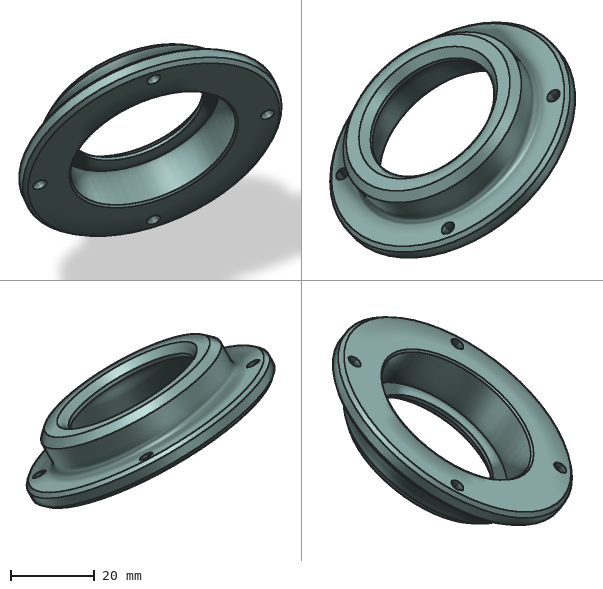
import cadquery as cq

total_length = 14.0
flange_thickness = 4.5
boss_length = total_length - flange_thickness
seat_depth = 11.0
seat_start = total_length - seat_depth

flange_diameter = 66.0
boss_diameter = 49.0
bore_diameter = 34.0
seat_diameter = 42.0

flange_chamfer = 1.0
boss_chamfer = 2.0
bore_chamfer = 2.0
seat_chamfer = 0.5
root_fillet = 2.0

hole_count = 4
hole_diameter = 3.4
hole_circle_diameter = 58.0


def disc(start_x, length, diameter):
    """Solid cylinder along +X, starting at start_x."""
    return cq.Workplane("YZ", origin=(start_x, 0, 0)).circle(diameter / 2).extrude(length)


def make_flange():
    """Round flange with both rims chamfered."""
    return disc(boss_length, flange_thickness, flange_diameter).edges().chamfer(flange_chamfer)


def make_boss():
    """Round boss with its free end chamfered."""
    return disc(0, boss_length, boss_diameter).faces("<X").edges().chamfer(boss_chamfer)


def fillet_boss_root(body):
    """Round the inside corner where the boss meets the flange."""
    on_flange_face = cq.selectors.BoxSelector(
        (boss_length - root_fillet / 2, -boss_diameter, -boss_diameter),
        (boss_length + root_fillet / 2, boss_diameter, boss_diameter),
    )
    root_edge = body.edges(on_flange_face).edges(cq.selectors.RadiusNthSelector(0))
    return root_edge.fillet(root_fillet)


def cut_bore(body):
    """Through bore, with a chamfered mouth at the boss end."""
    bored = body.cut(disc(0, total_length, bore_diameter))
    mouth_edge = bored.faces("<X").edges(cq.selectors.RadiusNthSelector(0))
    return mouth_edge.chamfer(bore_chamfer)


def cut_seat(body):
    """Wider counterbore from the flange end, with a chamfered mouth; a lip remains at the boss end."""
    bored = body.cut(disc(seat_start, seat_depth, seat_diameter))
    mouth_edge = bored.faces(">X").edges(cq.selectors.RadiusNthSelector(0))
    return mouth_edge.chamfer(seat_chamfer)


def cut_mounting_holes(body):
    """Through holes evenly spaced around the flange, on the Y and Z axes."""
    holes = (
        cq.Workplane("YZ", origin=(boss_length, 0, 0))
        .polarArray(hole_circle_diameter / 2, 0, 360, hole_count)
        .circle(hole_diameter / 2)
        .extrude(flange_thickness)
    )
    return body.cut(holes)


blank = fillet_boss_root(make_boss().union(make_flange()))
result = cut_mounting_holes(cut_seat(cut_bore(blank)))